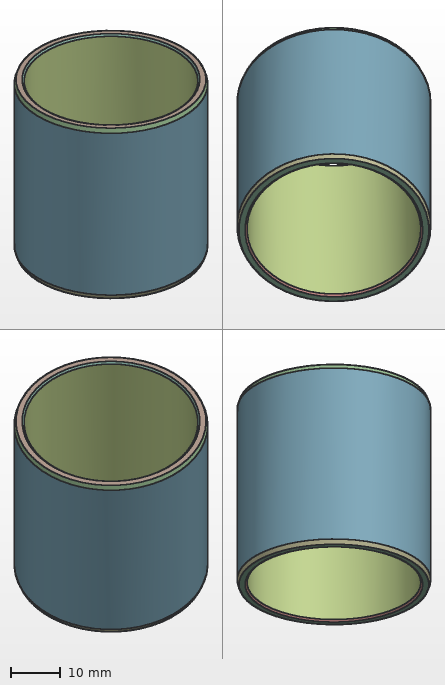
import cadquery as cq

length = 40.0
outer_radius = 39.0 / 2
bore_radius = 35.0 / 2

outer_chamfer_height = 1.0
outer_chamfer_depth = 0.35
bore_chamfer = 0.4

half_length = length / 2
outer_edge_radius = outer_radius - outer_chamfer_depth
bore_edge_radius = bore_radius + bore_chamfer

wall_section = (
    cq.Workplane("XZ")
    .moveTo(bore_radius, -half_length + bore_chamfer)
    .lineTo(bore_edge_radius, -half_length)
    .lineTo(outer_edge_radius, -half_length)
    .lineTo(outer_radius, -half_length + outer_chamfer_height)
    .lineTo(outer_radius, half_length - outer_chamfer_height)
    .lineTo(outer_edge_radius, half_length)
    .lineTo(bore_edge_radius, half_length)
    .lineTo(bore_radius, half_length - bore_chamfer)
    .close()
)

result = wall_section.revolve(360, (0, 0, 0), (0, 1, 0))